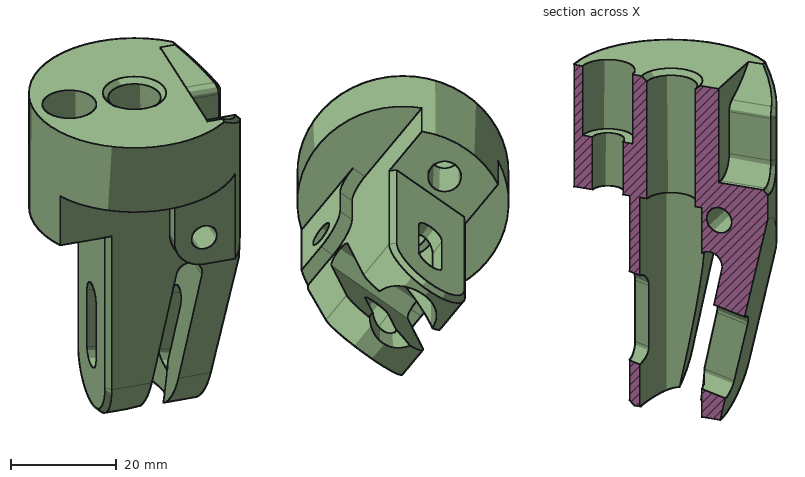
import cadquery as cq
import math

height = 68.0
body_radius = 20.0
flange_bottom = 53.8
block_bottom = 42.9

leg_half_width = 9.05
leg_front = -8.6
leg_chamfer = 1.0
back_tilt = 12.9

lug_half_width = 11.9
pin_y = 9.9
pin_z = 41.0
pin_radius = 2.5
lug_radius = 5.9
lug_relief_radius = 4.0

main_bore_radius = 4.95
main_bore_chamfer = 1.0
lower_bore_radius = 6.3
screw_y = -13.0
screw_radius = 3.1
screw_head_radius = 5.1
screw_head_depth = height - flange_bottom

split_tilt = 12
split_radius = 2.6
split_end_y = 7.9
split_end_z = 31.55

window_radius = 2.7
window_top = 27.4
window_bottom = 9.25

notch_front = 9.85
channel_half_width = 4.95
channel_floor = 48.75
channel_fillet = 4.0
mouth_half_width = 14.2
mouth_mid_half_width = 11.55
mouth_mid_z = 65.95
mouth_bottom = 62.8
mouth_fillet = 2.05
notch_chamfer = 0.95


def box(x_half, y_min, y_max, z_min, z_max):
    """Box centred on X between the given Y and Z limits."""
    return (cq.Workplane("XY").box(2 * x_half, y_max - y_min, z_max - z_min)
            .translate((0, (y_min + y_max) / 2, (z_min + z_max) / 2)))


def rod(y, radius, z_min, z_max):
    """Vertical cylinder on the X = 0 plane."""
    return cq.Workplane("XY", origin=(0, y, z_min)).circle(radius).extrude(z_max - z_min)


def across(workplane_outline, half_width):
    """Extrude a YZ outline evenly about X = 0."""
    return workplane_outline.extrude(half_width, both=True)


def make_leg():
    """Round-ended leg with a chamfered front, below a wider block."""
    leg = box(leg_half_width, leg_front, body_radius, leg_half_width, flange_bottom)
    tip = (cq.Workplane("XZ", origin=(0, leg_front, leg_half_width))
           .circle(leg_half_width).extrude(leg_front - body_radius))
    leg = leg.union(tip).faces("<Y").chamfer(leg_chamfer)
    leg = leg.union(box(leg_half_width, -body_radius, body_radius, block_bottom, flange_bottom))
    return leg


def make_lugs():
    """Hinge lugs on both sides, blended into the underside of the flange."""
    front = pin_y - lug_radius
    corner = lug_radius * math.sqrt(0.5)
    relief_y = front - lug_relief_radius
    relief_z = flange_bottom - lug_relief_radius
    relief_corner = lug_relief_radius * math.sqrt(0.5)
    outline = (cq.Workplane("YZ")
               .moveTo(body_radius, flange_bottom)
               .lineTo(body_radius, pin_z - lug_radius)
               .lineTo(pin_y, pin_z - lug_radius)
               .threePointArc((pin_y - corner, pin_z - corner), (front, pin_z))
               .lineTo(front, relief_z)
               .threePointArc((relief_y + relief_corner, relief_z + relief_corner),
                              (relief_y, flange_bottom))
               .close())
    return across(outline, lug_half_width)


def make_back_wedge():
    """Material to remove behind the tilted back of the leg and lugs."""
    outline = (cq.Workplane("YZ")
               .moveTo(body_radius, block_bottom)
               .lineTo(body_radius - block_bottom * math.tan(math.radians(back_tilt)), 0)
               .lineTo(body_radius, 0)
               .close())
    return across(outline, lug_half_width)


def make_notch():
    """Symmetric notch open to the top and the rear."""
    fillet_z = channel_floor + channel_fillet
    floor_half = channel_half_width - channel_fillet
    fillet_corner = channel_fillet * math.sqrt(0.5)
    outline = (cq.Workplane("XZ", origin=(0, notch_front, 0))
               .moveTo(-mouth_half_width, height)
               .threePointArc((-mouth_mid_half_width, mouth_mid_z),
                              (-channel_half_width, mouth_bottom))
               .lineTo(-channel_half_width, fillet_z)
               .threePointArc((-floor_half - fillet_corner, fillet_z - fillet_corner),
                              (-floor_half, channel_floor))
               .lineTo(floor_half, channel_floor)
               .threePointArc((floor_half + fillet_corner, fillet_z - fillet_corner),
                              (channel_half_width, fillet_z))
               .lineTo(channel_half_width, mouth_bottom)
               .threePointArc((mouth_mid_half_width, mouth_mid_z), (mouth_half_width, height))
               .close())
    mouth_corners = cq.selectors.BoxSelector(
        (-mouth_half_width, notch_front, mouth_bottom - mouth_fillet),
        (mouth_half_width, 2 * body_radius, mouth_bottom + mouth_fillet))
    return outline.extrude(-body_radius).edges("|Y").edges(mouth_corners).fillet(mouth_fillet)


def make_split():
    """Tilted slot with a round upper end, open at the bottom of the leg."""
    slot = across(cq.Workplane("YZ").circle(split_radius), leg_half_width)
    slot = slot.union(box(leg_half_width, -split_radius, split_radius, -height, 0))
    slot = slot.rotate((0, 0, 0), (1, 0, 0), -split_tilt)
    return slot.translate((0, split_end_y, split_end_z))


def make_window():
    """Slot through both prongs, descending toward the rear."""
    length = (window_top - window_bottom) * math.cos(math.radians(back_tilt))
    middle = (window_top + window_bottom) / 2
    return (cq.Workplane("XZ")
            .slot2D(length, 2 * window_radius, 90)
            .extrude(2 * body_radius, both=True)
            .rotate((0, 0, 0), (1, 0, 0), -back_tilt)
            .translate((0, leg_front, middle)))


body = rod(0, body_radius, 0, height)
lower = make_leg().union(make_lugs()).intersect(body).cut(make_back_wedge())
flange = rod(0, body_radius, flange_bottom, height)
result = flange.union(lower)

result = result.cut(make_notch())
notch_rim = cq.selectors.BoxSelector(
    (-mouth_half_width, (notch_front + body_radius) / 2, channel_floor - notch_chamfer),
    (mouth_half_width, body_radius + notch_chamfer, height - notch_chamfer))
result = result.edges(notch_rim).edges("not |Y").chamfer(notch_chamfer)

result = result.cut(rod(0, main_bore_radius, 0, height))
result = result.faces(">Z").edges(cq.selectors.RadiusNthSelector(0)).chamfer(main_bore_chamfer)
result = result.cut(rod(0, lower_bore_radius, 0, block_bottom))
result = result.cut(rod(screw_y, screw_radius, block_bottom, height))
result = result.cut(rod(screw_y, screw_head_radius, height - screw_head_depth, height))

pin_hole = cq.Workplane("YZ").center(pin_y, pin_z).circle(pin_radius)
result = result.cut(across(pin_hole, lug_half_width))
result = result.cut(make_split())
result = result.cut(make_window())